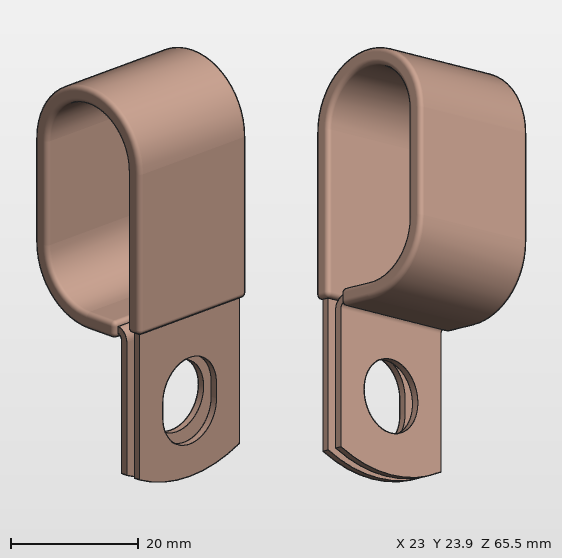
import cadquery as cq
import math


total_height = 65.5
jacket_radius = 11.5
straight_side = 17.4
band_thickness = 1.2
band_width = 22.25
coat_thickness = 0.8
arm_end = 6.0
bend_inner_radius = 1.05
tab_outer_x = 7.9
hole_diameter = 11.9
hole_height = 12.7
slot_length = 14.55
tip_rise = 2.5

jacket_thickness = band_thickness + 2 * coat_thickness
jacket_width = band_width + 2 * coat_thickness
inner_radius = jacket_radius - jacket_thickness
upper_center = total_height - jacket_radius
lower_center = upper_center - straight_side
arm_bottom = lower_center - jacket_radius
arm_top = arm_bottom + jacket_thickness
side_end = arm_top - coat_thickness
bend_outer_radius = bend_inner_radius + band_thickness
arm_band_bottom = arm_bottom + coat_thickness
arm_band_top = arm_band_bottom + band_thickness
bend_center = (tab_outer_x - bend_outer_radius, arm_band_top - bend_outer_radius)
side_tab_x = jacket_radius - coat_thickness - band_thickness
tip_radius = ((band_width / 2) ** 2 + tip_rise ** 2) / (2 * tip_rise)


def extrude_across(profile, width):
    """Extrude an XZ profile symmetrically about Y = 0."""
    return profile.extrude(width / 2, both=True)


def make_jacket():
    profile = (
        cq.Workplane("XZ")
        .moveTo(jacket_radius, side_end)
        .lineTo(jacket_radius, upper_center)
        .threePointArc((0, total_height), (-jacket_radius, upper_center))
        .lineTo(-jacket_radius, lower_center)
        .radiusArc((0, arm_bottom), -jacket_radius)
        .lineTo(arm_end, arm_bottom)
        .lineTo(arm_end, arm_top)
        .lineTo(0, arm_top)
        .radiusArc((-inner_radius, lower_center), inner_radius)
        .lineTo(-inner_radius, upper_center)
        .threePointArc((0, upper_center + inner_radius), (inner_radius, upper_center))
        .lineTo(inner_radius, side_end)
        .close()
    )
    jacket = extrude_across(profile, jacket_width)
    arm_end_point = (arm_end, 0, (arm_bottom + arm_top) / 2)
    side_end_point = (jacket_radius - jacket_thickness / 2, 0, side_end)
    edges = jacket.faces("<Y or >Y").edges()
    for point in (arm_end_point, side_end_point):
        edges = edges.add(jacket.faces(cq.selectors.NearestToPointSelector(point)).edges("|Y"))
    return edges.fillet(coat_thickness)


def make_bent_tab():
    center_x, center_z = bend_center
    diagonal = math.sqrt(0.5)
    outer_mid = (center_x + bend_outer_radius * diagonal, center_z + bend_outer_radius * diagonal)
    inner_mid = (center_x + bend_inner_radius * diagonal, center_z + bend_inner_radius * diagonal)
    profile = (
        cq.Workplane("XZ")
        .moveTo(0, arm_band_top)
        .lineTo(center_x, arm_band_top)
        .threePointArc(outer_mid, (center_x + bend_outer_radius, center_z))
        .lineTo(center_x + bend_outer_radius, 0)
        .lineTo(center_x + bend_inner_radius, 0)
        .lineTo(center_x + bend_inner_radius, center_z)
        .threePointArc(inner_mid, (center_x, arm_band_bottom))
        .lineTo(0, arm_band_bottom)
        .close()
    )
    return extrude_across(profile, band_width)


def make_straight_tab():
    profile = (
        cq.Workplane("XZ")
        .moveTo(side_tab_x, 0)
        .lineTo(side_tab_x + band_thickness, 0)
        .lineTo(side_tab_x + band_thickness, upper_center)
        .lineTo(side_tab_x, upper_center)
        .close()
    )
    return extrude_across(profile, band_width)


def make_tab_envelope():
    """Side outline shared by both tabs, with the curved tip."""
    half_width = band_width / 2
    return (
        cq.Workplane("YZ")
        .moveTo(-half_width, total_height)
        .lineTo(-half_width, tip_rise)
        .radiusArc((half_width, tip_rise), -tip_radius)
        .lineTo(half_width, total_height)
        .close()
        .extrude(jacket_radius)
    )


def bolt_center_plane():
    return cq.Workplane("YZ").center(0, hole_height)


bolt_hole = bolt_center_plane().circle(hole_diameter / 2).extrude(jacket_radius)
bolt_slot = bolt_center_plane().slot2D(slot_length, hole_diameter, 90).extrude(jacket_radius)
envelope = make_tab_envelope()
bent_tab = make_bent_tab().intersect(envelope).cut(bolt_hole)
straight_tab = make_straight_tab().intersect(envelope).cut(bolt_slot)
result = make_jacket().union(bent_tab).union(straight_tab)